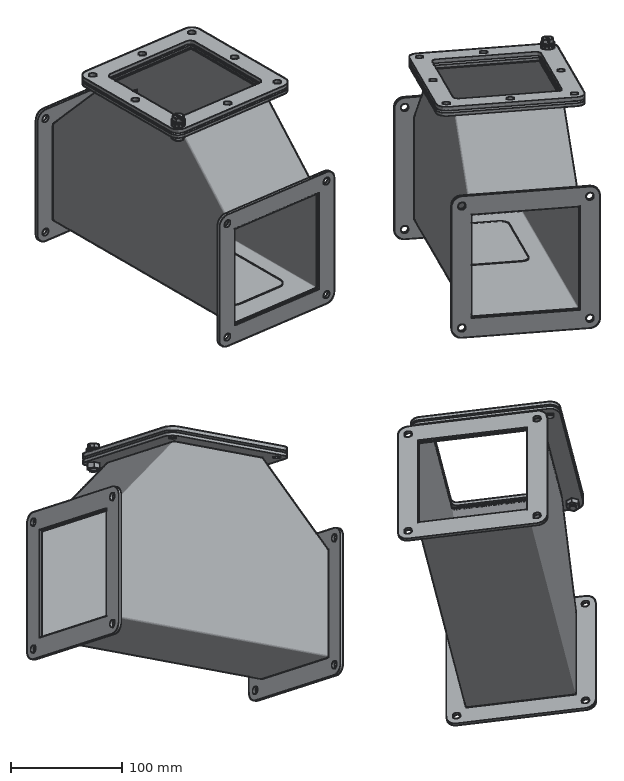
import cadquery as cq
import math

length = 254.0
flange_side = 136.7
flange_thick = 3.0
flange_corner_radius = 9.5
flange_opening = 100.0
hole_inset = 9.5
hole_diameter = 7.0

duct_side = 101.5
wall = 1.5
bend_radius = 2.5

lower_flange_top = 195.0
frame_gap = 2.0
frame_thick = 3.8
frame_opening_radius = 5.0

panel_length = 101.5
panel_width = 64.3
panel_thick = 0.8
panel_radius = 8.6
panel_offset_y = 1.3

overall_height = 209.8
screw_diameter = 6.4
screw_head_height = 4.0
screw_head_flats = 9.7
head_top_diameter = 9.1
head_chamfer_drop = 0.8
screw_end = 185.0
slot_width = 1.5
slot_depth = 2.0
washer_diameter = 12.7
flat_washer_thick = 1.8
washer_chamfer = 0.5
tooth_count = 10
notch_width = 0.8
notch_depth = 1.0
tooth_base = 1.3
nut_flats = 10.7
nut_height = 5.0

flange_mid = flange_side / 2
hole_pitch = flange_side - 2 * hole_inset
screw_x = hole_pitch / 2
screw_y = -hole_pitch / 2
lower_flange_bottom = lower_flange_top - flange_thick
frame_bottom = lower_flange_top + frame_gap
frame_top = frame_bottom + frame_thick
head_bottom = overall_height - screw_head_height
toothed_washer_thick = head_bottom - flat_washer_thick - frame_top
duct_end = length / 2 - flange_thick
duct_bottom = flange_mid - duct_side / 2
duct_shoulder = flange_mid + duct_side / 2


def flange(thick, opening_radius=0.0):
    """Square flange with a corner hole pattern, lying on Z = 0."""
    plate = (
        cq.Workplane("XY")
        .rect(flange_side, flange_side)
        .extrude(thick)
        .edges("|Z")
        .fillet(flange_corner_radius)
    )
    opening = cq.Workplane("XY").rect(flange_opening, flange_opening).extrude(thick)
    if opening_radius > 0:
        opening = opening.edges("|Z").fillet(opening_radius)
    corners = (
        cq.Workplane("XY")
        .rect(hole_pitch, hole_pitch, forConstruction=True)
        .vertices()
        .circle(hole_diameter / 2)
        .extrude(thick)
    )
    return plate.cut(opening).cut(corners)


def end_flange(x_start):
    """Upright flange on an open end of the duct, from x_start toward +X."""
    upright = flange(flange_thick).rotate((0, 0, 0), (0, 1, 0), 90)
    return upright.translate((x_start, 0, flange_mid))


def upper_frame():
    """Counter-flange above the duct, with mid-side holes as well as corner holes."""
    reach = hole_pitch / 2
    mid_holes = (
        cq.Workplane("XY")
        .pushPoints([(reach, 0), (-reach, 0), (0, reach), (0, -reach)])
        .circle(hole_diameter / 2)
        .extrude(frame_thick)
    )
    frame = flange(frame_thick, frame_opening_radius).cut(mid_holes)
    return frame.translate((0, 0, frame_bottom))


def duct_prism(inset, edge_radius):
    """Solid tee shape with sloping shoulders, shrunk by inset on its folded faces."""
    side = duct_side / 2 - inset
    slope = math.atan2(lower_flange_bottom - duct_shoulder, duct_end - duct_side / 2)
    drop = inset / math.cos(slope)
    shift = inset / math.sin(slope)
    prism = (
        cq.Workplane("XZ")
        .moveTo(-duct_end, duct_bottom + inset)
        .lineTo(duct_end, duct_bottom + inset)
        .lineTo(duct_end, duct_shoulder - drop)
        .lineTo(duct_side / 2 - shift, lower_flange_bottom)
        .lineTo(shift - duct_side / 2, lower_flange_bottom)
        .lineTo(-duct_end, duct_shoulder - drop)
        .close()
        .extrude(side, both=True)
    )
    folded_edges = "(<Y or >Y) and (not (|Y or |Z or >Z))"
    return prism.edges(folded_edges).fillet(edge_radius)


def raised_panel():
    """Thin rounded panel standing on the duct floor."""
    plate = (
        cq.Workplane("XY")
        .rect(panel_length, panel_width)
        .extrude(panel_thick)
        .edges("|Z")
        .fillet(panel_radius)
    )
    return plate.translate((panel_length / 2, panel_offset_y, duct_bottom + wall))


def duct():
    """Folded sheet tee, open at both ends and at the top."""
    shell = duct_prism(0.0, bend_radius).cut(duct_prism(wall, bend_radius - wall))
    return shell.union(raised_panel())


def hexagon(flats, height):
    """Hexagonal prism with two corners on the X axis."""
    return cq.Workplane("XY").polygon(6, flats / math.cos(math.pi / 6)).extrude(height)


def screw():
    """Slotted hexagon screw, its head corners chamfered all round."""
    head = hexagon(screw_head_flats, screw_head_height)
    slot = (
        cq.Workplane("XY")
        .box(2 * screw_head_flats, slot_width, slot_depth, centered=(True, True, False))
        .translate((0, 0, screw_head_height - slot_depth))
    )
    shank = cq.Workplane("XY").circle(screw_diameter / 2).extrude(screw_end - head_bottom)
    corner_radius = screw_head_flats / 2 / math.cos(math.pi / 6)
    chamfer_envelope = (
        cq.Workplane("XZ")
        .lineTo(corner_radius, 0)
        .lineTo(corner_radius, screw_head_height - head_chamfer_drop)
        .lineTo(head_top_diameter / 2, screw_head_height)
        .lineTo(0, screw_head_height)
        .close()
        .revolve(360, (0, 0, 0), (0, 1, 0))
    )
    head = head.intersect(chamfer_envelope)
    return head.cut(slot).union(shank).translate((screw_x, screw_y, head_bottom))


def flat_washer():
    """Washer under the screw head, with both outer edges chamfered."""
    disc = (
        cq.Workplane("XY")
        .circle(washer_diameter / 2)
        .extrude(flat_washer_thick)
        .edges()
        .chamfer(washer_chamfer)
    )
    bore = cq.Workplane("XY").circle(screw_diameter / 2).extrude(flat_washer_thick)
    return disc.cut(bore).translate((screw_x, screw_y, head_bottom - flat_washer_thick))


def toothed_washer():
    """Lock washer on the upper frame: notches in the rim above a plain base."""
    ring = (
        cq.Workplane("XY")
        .circle(washer_diameter / 2)
        .circle(screw_diameter / 2)
        .extrude(toothed_washer_thick)
    )
    notches = (
        cq.Workplane("XY")
        .workplane(offset=tooth_base)
        .polarArray(washer_diameter / 2, 0, 360, tooth_count)
        .rect(2 * notch_depth, notch_width)
        .extrude(toothed_washer_thick - tooth_base)
    )
    return ring.cut(notches).translate((screw_x, screw_y, frame_top))


def nut():
    """Hexagon nut under the lower flange."""
    bore = cq.Workplane("XY").circle(screw_diameter / 2).extrude(nut_height)
    body = hexagon(nut_flats, nut_height).cut(bore)
    return body.translate((screw_x, screw_y, lower_flange_bottom - nut_height))


end_flanges = [end_flange(x_start) for x_start in (-length / 2, duct_end)]
lower_flange = flange(flange_thick).translate((0, 0, lower_flange_bottom))

result = cq.Compound.makeCompound(
    [
        duct().val(),
        *[body.val() for body in end_flanges],
        lower_flange.val(),
        upper_frame().val(),
        screw().val(),
        flat_washer().val(),
        toothed_washer().val(),
        nut().val(),
    ]
)